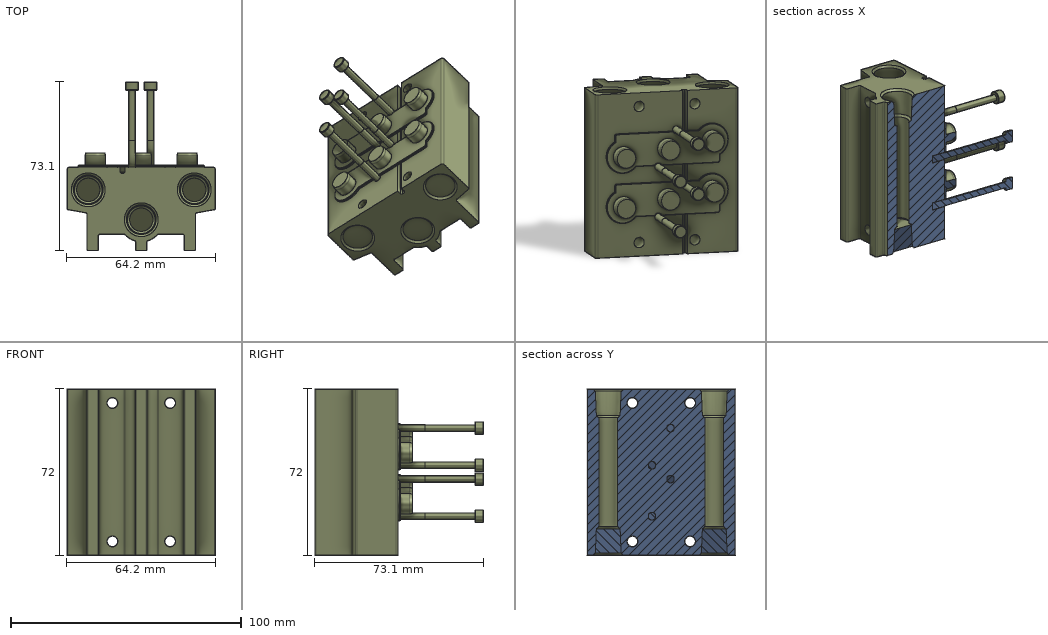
import cadquery as cq
import math

OVERALL_DEPTH = 73.1
HOUSING_WIDTH = 64.2
HOUSING_DEPTH = 36.1
HOUSING_LENGTH = 72.0
LEG_OUTER_WIDTH = 47.0
LEG_THICKNESS = 5.0
SLOT_DEPTH = 7.0
WING_EDGE_Y = 17.75
WING_ROOT_Y = 16.2
BACK_CORNER_RADIUS = 1.0
PROFILE_CORNER_RADIUS = 0.5

SIDE_PORT_X = 22.95
SIDE_PORT_Y = 26.3
CENTRE_PORT_Y = 13.4
PORT_CENTRES = [(-SIDE_PORT_X, SIDE_PORT_Y), (0, CENTRE_PORT_Y), (SIDE_PORT_X, SIDE_PORT_Y)]
CENTRE_BOSS_RADIUS = 9.6
PORT_MOUTH_DIAMETER = 14.6
PORT_TAPER_START_DIAMETER = 12.8
PORT_TAPER_END_DIAMETER = 12.0
PORT_TAPER_LENGTH = 10.5
PORT_BORE_DIAMETER = 10.1

MOUNT_HOLE_DIAMETER = 4.5
MOUNT_HOLE_X = 12.5
MOUNT_HOLE_Z = 30.0
GROOVE_WIDTH = 2.05
GROOVE_DEPTH = 2.6
GROOVE_X = -8.1
GROOVE_CORNER_CHAMFER = 0.5

STATION_Z = 11.05
SEAL_THICKNESS = 0.9
SEAL_EDGE_CHAMFER = 0.3
SEAL_HALF_WIDTH = 23.55
SEAL_HALF_HEIGHT = 7.4
SEAL_CORNER_RADIUS = 1.0
SEAL_LOBE_RADIUS = 7.45
SPIGOT_X = 19.9
SPIGOT_STAGGER = 2.6
SPIGOT_DIAMETER = 8.9
SPIGOT_TIP_DIAMETER = 8.3
SPIGOT_TOP = 6.2
SPIGOT_TIP_LENGTH = 1.25

SCREW_X = 4.0
SCREW_STAGGER = 8.05
SCREW_TOP = OVERALL_DEPTH - HOUSING_DEPTH
SCREW_HEAD_DIAMETER = 5.5
SCREW_HEAD_HEIGHT = 3.7
SCREW_HEAD_CHAMFER = 0.3
SCREW_SEAT_INSET = 0.15
SCREW_SHANK_DIAMETER = 2.9
SCREW_THREAD_DIAMETER = 3.0
SCREW_THREAD_TOP = 11.55
SCREW_ENGAGEMENT = 6.6
SCREW_CLEARANCE_DIAMETER = 3.5

SCREW_OFFSETS = [(-SCREW_X, SCREW_STAGGER), (SCREW_X, -SCREW_STAGGER)]
SPIGOT_OFFSETS = [(-SPIGOT_X, SPIGOT_STAGGER), (0, 0), (SPIGOT_X, -SPIGOT_STAGGER)]
STATIONS = [STATION_Z, -STATION_Z]


def rod_along_y(diameter, length, x, y, z):
    """A round rod that starts at (x, y, z) and runs towards +Y."""
    return cq.Workplane("XZ", origin=(x, y, z)).circle(diameter / 2).extrude(-length)


def turned_about_y(half_section):
    """Revolve a (radius, height) outline about the Y axis."""
    return cq.Workplane("XY").polyline(half_section).close().revolve(360, (0, 0), (0, 1))


def turned_about_z(half_section):
    """Revolve a (radius, height) outline about the Z axis."""
    return cq.Workplane("XZ").polyline(half_section).close().revolve(360, (0, 0), (0, 1))


def boss_y(x):
    """Front of the boss around the centre port at a given x."""
    return CENTRE_PORT_Y - math.sqrt(CENTRE_BOSS_RADIUS**2 - x**2)


def extrusion():
    """Housing profile, mirrored about X = 0 and run along Z, with its long edges rounded."""
    half_width = HOUSING_WIDTH / 2
    leg_outer = LEG_OUTER_WIDTH / 2
    leg_inner = leg_outer - LEG_THICKNESS
    rib = LEG_THICKNESS / 2
    boss_end = math.sqrt(CENTRE_BOSS_RADIUS**2 - (CENTRE_PORT_Y - SLOT_DEPTH) ** 2)
    boss_middle = (rib + boss_end) / 2
    half = (
        cq.Workplane("XY", origin=(0, 0, -HOUSING_LENGTH / 2))
        .moveTo(0, HOUSING_DEPTH)
        .lineTo(half_width, HOUSING_DEPTH)
        .lineTo(half_width, WING_EDGE_Y)
        .lineTo(leg_outer, WING_ROOT_Y)
        .lineTo(leg_outer, 0)
        .lineTo(leg_inner, 0)
        .lineTo(leg_inner, SLOT_DEPTH)
        .lineTo(boss_end, SLOT_DEPTH)
        .threePointArc((boss_middle, boss_y(boss_middle)), (rib, boss_y(rib)))
        .lineTo(rib, 0)
        .lineTo(0, 0)
        .close()
        .extrude(HOUSING_LENGTH)
    )
    body = half.union(half.mirror("YZ"))
    body = body.edges("|Z and >Y").fillet(BACK_CORNER_RADIUS)
    in_front_half = cq.selectors.BoxSelector(
        (-HOUSING_WIDTH, -HOUSING_DEPTH, -HOUSING_LENGTH),
        (HOUSING_WIDTH, (WING_EDGE_Y + HOUSING_DEPTH) / 2, HOUSING_LENGTH),
    )
    return body.edges("|Z").edges(in_front_half).fillet(PROFILE_CORNER_RADIUS)


MOUTH_DEPTH = (PORT_MOUTH_DIAMETER - PORT_TAPER_START_DIAMETER) / 2
TAPER_TOP = HOUSING_LENGTH / 2 - MOUTH_DEPTH
TAPER_BOTTOM = TAPER_TOP - PORT_TAPER_LENGTH
SHOULDER_Z = TAPER_BOTTOM - (PORT_TAPER_END_DIAMETER - PORT_BORE_DIAMETER) / 2


def port_cutter():
    """Through bore with a chamfered, tapered port at both ends."""
    upper = [
        (PORT_BORE_DIAMETER / 2, SHOULDER_Z),
        (PORT_TAPER_END_DIAMETER / 2, TAPER_BOTTOM),
        (PORT_TAPER_START_DIAMETER / 2, TAPER_TOP),
        (PORT_MOUTH_DIAMETER / 2, HOUSING_LENGTH / 2),
        (0, HOUSING_LENGTH / 2),
    ]
    lower = [(radius, -z) for radius, z in reversed(upper)]
    return turned_about_z(lower + upper)


def groove_cutter():
    """Groove with chamfered bottom corners, along the whole back face."""
    return (
        cq.Workplane("XY", origin=(GROOVE_X, HOUSING_DEPTH - GROOVE_DEPTH / 2, 0))
        .box(GROOVE_WIDTH, GROOVE_DEPTH, HOUSING_LENGTH)
        .edges("|Z and <Y")
        .chamfer(GROOVE_CORNER_CHAMFER)
    )


def make_housing():
    """Housing with its ports, mounting holes, screw holes and keying groove."""
    body = extrusion()
    for x, y in PORT_CENTRES:
        body = body.cut(port_cutter().translate((x, y, 0)))
    for x in (-MOUNT_HOLE_X, MOUNT_HOLE_X):
        for z in (-MOUNT_HOLE_Z, MOUNT_HOLE_Z):
            body = body.cut(rod_along_y(MOUNT_HOLE_DIAMETER, HOUSING_DEPTH, x, 0, z))
    hole_bottom = HOUSING_DEPTH - SCREW_ENGAGEMENT
    for station in STATIONS:
        for x, z in SCREW_OFFSETS:
            body = body.cut(
                rod_along_y(SCREW_THREAD_DIAMETER, SCREW_ENGAGEMENT, x, hole_bottom, station + z)
            )
    return body.cut(groove_cutter())


def make_plug(x, y):
    """Tapered plug that fills the lower port of one bore."""
    plug = turned_about_z(
        [
            (0, -TAPER_TOP),
            (PORT_TAPER_START_DIAMETER / 2, -TAPER_TOP),
            (PORT_TAPER_END_DIAMETER / 2, -TAPER_BOTTOM),
            (0, -TAPER_BOTTOM),
        ]
    )
    return plug.translate((x, y, 0))


def spigot():
    """Round spigot with a tapered tip, standing on the back face of the housing."""
    radius = SPIGOT_DIAMETER / 2
    return turned_about_y(
        [
            (0, 0),
            (radius, 0),
            (radius, SPIGOT_TOP - SPIGOT_TIP_LENGTH),
            (SPIGOT_TIP_DIAMETER / 2, SPIGOT_TOP),
            (0, SPIGOT_TOP),
        ]
    )


def seal_key():
    """Round pin under the seal that fits the groove in the housing."""
    radius = GROOVE_WIDTH / 2
    key = turned_about_y(
        [
            (0, 0),
            (radius, 0),
            (radius, GROOVE_CORNER_CHAMFER - GROOVE_DEPTH),
            (radius - GROOVE_CORNER_CHAMFER, -GROOVE_DEPTH),
            (0, -GROOVE_DEPTH),
        ]
    )
    return key.translate((GROOVE_X, 0, 0))


def make_seal(station):
    """Flat seal with two round lobes, three spigots, a key and two screw notches."""
    seal = (
        cq.Workplane("XZ")
        .rect(2 * SEAL_HALF_WIDTH, 2 * SEAL_HALF_HEIGHT)
        .extrude(-SEAL_THICKNESS)
        .edges("|Y")
        .fillet(SEAL_CORNER_RADIUS)
    )
    for x, z in (SPIGOT_OFFSETS[0], SPIGOT_OFFSETS[-1]):
        seal = seal.union(rod_along_y(2 * SEAL_LOBE_RADIUS, SEAL_THICKNESS, x, 0, z))
    seal = seal.faces(">Y").edges().chamfer(SEAL_EDGE_CHAMFER)
    for x, z in SCREW_OFFSETS:
        seal = seal.cut(rod_along_y(SCREW_CLEARANCE_DIAMETER, SEAL_THICKNESS, x, 0, z))
    for x, z in SPIGOT_OFFSETS:
        seal = seal.union(spigot().translate((x, 0, z)))
    seal = seal.union(seal_key())
    return seal.translate((0, HOUSING_DEPTH, station))


def make_screw(x, z):
    """Screw with a thicker threaded end and a chamfered cylindrical head."""
    thread = SCREW_THREAD_DIAMETER / 2
    shank = SCREW_SHANK_DIAMETER / 2
    head = SCREW_HEAD_DIAMETER / 2
    head_bottom = SCREW_TOP - SCREW_HEAD_HEIGHT
    screw = turned_about_y(
        [
            (0, -SCREW_ENGAGEMENT),
            (thread, -SCREW_ENGAGEMENT),
            (thread, SCREW_THREAD_TOP),
            (shank, SCREW_THREAD_TOP),
            (shank, head_bottom),
            (head - SCREW_SEAT_INSET, head_bottom),
            (head, head_bottom + SCREW_HEAD_CHAMFER),
            (head, SCREW_TOP - SCREW_HEAD_CHAMFER),
            (head - SCREW_HEAD_CHAMFER, SCREW_TOP),
            (0, SCREW_TOP),
        ]
    )
    return screw.translate((x, HOUSING_DEPTH, z))


housing = make_housing()
plugs = [make_plug(x, y).val() for x, y in PORT_CENTRES]
seals = [make_seal(station).val() for station in STATIONS]
screws = [make_screw(x, station + z).val() for station in STATIONS for x, z in SCREW_OFFSETS]

result = cq.Compound.makeCompound([housing.val(), *plugs, *seals, *screws])